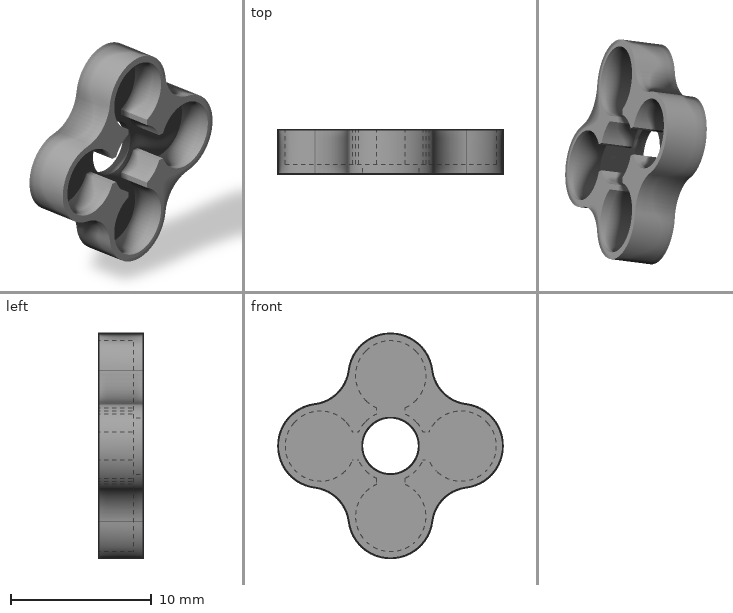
import cadquery as cq
import math

thickness = 3.17
bore_diameter = 4.0
lobe_count = 4
lobe_offset = 5.0
lobe_radius = 3.0
valley_radius = 2.75
front_wall = 0.7
side_wall = 0.5
channel_width = 2.0

front_y = -thickness / 2
back_y = thickness / 2
pocket_floor_y = front_y + front_wall
pocket_radius = lobe_radius - side_wall

lobe_step = 2 * math.pi / lobe_count
half_step = lobe_step / 2
valley_offset = lobe_offset * math.cos(half_step) + math.sqrt(
    (lobe_radius + valley_radius) ** 2 - (lobe_offset * math.sin(half_step)) ** 2
)


def polar(radius, angle):
    return (radius * math.cos(angle), radius * math.sin(angle))


def tangent_point(lobe_angle, valley_angle):
    """Point where a lobe arc meets a valley arc."""
    lobe_x, lobe_z = polar(lobe_offset, lobe_angle)
    valley_x, valley_z = polar(valley_offset, valley_angle)
    share = lobe_radius / (lobe_radius + valley_radius)
    return (lobe_x + share * (valley_x - lobe_x), lobe_z + share * (valley_z - lobe_z))


def section_plane(y):
    """XZ sketch plane at the given Y; extrusions from it run towards -Y."""
    return cq.Workplane("XZ", origin=(0, y, 0))


def lobed_plate():
    outline = section_plane(back_y).moveTo(*tangent_point(0, -half_step))
    for index in range(lobe_count):
        angle = index * lobe_step
        valley_angle = angle + half_step
        lobe_tip = polar(lobe_offset + lobe_radius, angle)
        valley_floor = polar(valley_offset - valley_radius, valley_angle)
        outline = outline.threePointArc(lobe_tip, tangent_point(angle, valley_angle))
        outline = outline.threePointArc(valley_floor, tangent_point(angle + lobe_step, valley_angle))
    return outline.close().extrude(thickness)


def bore():
    return section_plane(back_y).circle(bore_diameter / 2).extrude(thickness)


def pockets():
    """Central pocket, one pocket per lobe, and the straight channels that join them."""
    depth = back_y - pocket_floor_y
    cavity = section_plane(back_y).circle(pocket_radius).extrude(depth)
    lobe_pocket = section_plane(back_y).center(lobe_offset, 0).circle(pocket_radius).extrude(depth)
    channel = section_plane(back_y).center(lobe_offset / 2, 0).rect(lobe_offset, channel_width).extrude(depth)
    arm = lobe_pocket.union(channel)
    for index in range(lobe_count):
        turn = math.degrees(index * lobe_step)
        cavity = cavity.union(arm.rotate((0, 0, 0), (0, 1, 0), turn))
    return cavity


result = lobed_plate().cut(pockets()).cut(bore())